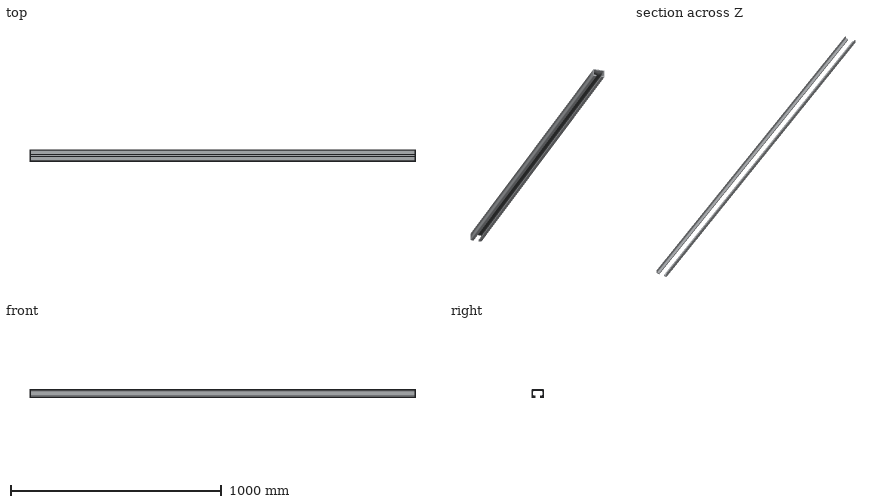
import cadquery as cq

length = 1828.8
width = 55.0
height = 37.0

outer_radius = 3.04
side_wall = 3.25
web_thickness = 4.8
lip_thickness = 7.36
inner_radius = 2.7
mouth_width = 25.0

groove_width = 8.58
groove_depth = 0.4

top_z = height / 2
bottom_z = -height / 2
cavity_top_z = top_z - web_thickness
cavity_bottom_z = bottom_z + lip_thickness


def bar(bar_width, low_z, high_z):
    """Full-length rectangular bar, centred on X and Y, between two heights."""
    return (
        cq.Workplane("YZ")
        .center(0, (low_z + high_z) / 2)
        .rect(bar_width, high_z - low_z)
        .extrude(length / 2, both=True)
    )


def rounded_bar(bar_width, low_z, high_z, radius):
    """Bar whose four long edges are rounded."""
    return bar(bar_width, low_z, high_z).edges("|X").fillet(radius)


body = rounded_bar(width, bottom_z, top_z, outer_radius)
cavity = rounded_bar(width - 2 * side_wall, cavity_bottom_z, cavity_top_z, inner_radius)

mouth_top_z = (cavity_bottom_z + cavity_top_z) / 2
mouth = bar(mouth_width, bottom_z, mouth_top_z)
groove = bar(groove_width, top_z - groove_depth, top_z)

result = body.cut(cavity).cut(mouth).cut(groove)